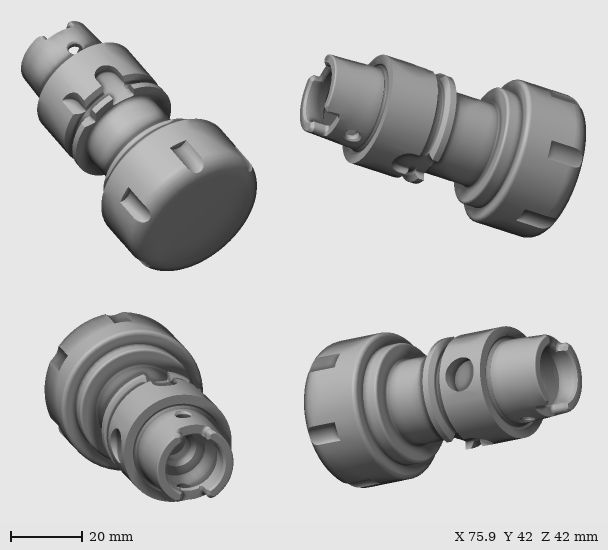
import cadquery as cq
import math


LENGTH = 75.9
NUT_RADIUS = 20.99
NUT_START = 55.7
NUT_BACK_FILLET = 1.2
NUT_FRONT_FILLET = 5.0
WRENCH_SLOT_COUNT = 6
WRENCH_SLOT_START = 63.9
WRENCH_SLOT_RADIUS = 3.0
WRENCH_SLOT_FLOOR = 19.05

TAPER_TIP_RADIUS = 11.4
TAPER_END_RADIUS = 12.1
TAPER_END = 14.95
TIP_FILLET = 0.45
RELIEF_DEPTH = 0.15
RELIEF_WIDTH = 0.5
RECESS_INNER_RADIUS = 12.5
RECESS_OUTER_RADIUS = 13.3
RECESS_DEPTH = 0.45

FLANGE_RADIUS = 31.95 / 2
FLANGE_START = 15.8
FLANGE_END = 35.75
GROOVE_CENTRE = 31.9
GROOVE_MOUTH_WIDTH = 4.0
GROOVE_FLOOR_WIDTH = 2.1
GROOVE_FLOOR_RADIUS = 13.2
GROOVE_SHOULDER_RADIUS = 14.35
GROOVE_WALL_FILLET = 0.4

NECK_RADIUS = 12.15
NECK_BACK_FILLET = 0.9
NECK_FRONT_FILLET = 0.6
COLLAR_START = 51.15
COLLAR_RADIUS = 17.15
COLLAR_FILLET = 0.75

BORE_RADIUS = 8.4
BORE_MOUTH_CHAMFER = 0.6
BORE_MOUTH_END = 6.1
UNDERCUT_RADIUS = 10.0
UNDERCUT_END = 12.0
CLAMP_FACE_ANGLE = 30.0
BORE_INNER_RADIUS = 8.1
BORE_DEPTH = 15.8
CORE_HOLE_RADIUS = 4.25
CORE_HOLE_DEPTH = 6.1
CORE_HOLE_CHAMFER = 1.15

NOTCH_HALF_WIDTH = 3.6
NOTCH_TOP_DEPTH = 3.0
NOTCH_BOTTOM_DEPTH = 5.0
NOTCH_SHOULDER_HEIGHT = 10.25
NOTCH_SHOULDER_RADIUS = 1.45
NOTCH_MOUTH_CHAMFER = 0.9
NOTCH_FLOOR_FILLET = 0.9
NOTCH_INNER_CHAMFER = 0.45

CROSS_HOLE_X = 10.85
CROSS_HOLE_RADIUS = 2.05
CROSS_HOLE_SINK = 0.6

KEYWAY_START = 23.8
KEYWAY_FLOOR = 12.9
KEYWAY_CORNER_FILLET = 0.45
KEYWAY_TOP_WIDTH = 7.05
KEYWAY_BOTTOM_WIDTH = 9.0
CORNER_NOTCH_OFFSET = 9.3
CORNER_NOTCH_END_RADIUS = 3.5
CHIP_POCKET_X = 22.9
CHIP_POCKET_RADIUS = 4.9
CHIP_POCKET_DEPTH = 4.55


def turned(profile):
    """Turn a closed (x, radius) profile round the X axis."""
    return profile.close().revolve(360, (0, 0, 0), (1, 0, 0))


def along_z(x, z):
    """Plane facing +Z at the given point of the XZ plane."""
    return cq.Workplane("XY", origin=(x, 0, z))


def holder_blank():
    relief_radius = TAPER_END_RADIUS - RELIEF_DEPTH
    recess_floor = FLANGE_START + RECESS_DEPTH
    arc_drop = RECESS_DEPTH * (1 - math.sqrt(0.5))
    recess_width = RECESS_OUTER_RADIUS - RECESS_INNER_RADIUS
    arc_middle = (recess_floor - arc_drop, RECESS_INNER_RADIUS + recess_width * math.sqrt(0.5))
    return turned(
        cq.Workplane("XY")
        .moveTo(0, 0)
        .lineTo(0, TAPER_TIP_RADIUS - TIP_FILLET)
        .radiusArc((TIP_FILLET, TAPER_TIP_RADIUS), TIP_FILLET)
        .lineTo(TAPER_END, TAPER_END_RADIUS)
        .lineTo(TAPER_END + RELIEF_DEPTH, relief_radius)
        .lineTo(TAPER_END + RELIEF_WIDTH, relief_radius)
        .lineTo(recess_floor, RECESS_INNER_RADIUS)
        .threePointArc(arc_middle, (FLANGE_START, RECESS_OUTER_RADIUS))
        .lineTo(FLANGE_START, FLANGE_RADIUS)
        .lineTo(FLANGE_END, FLANGE_RADIUS)
        .lineTo(FLANGE_END, NECK_RADIUS + NECK_BACK_FILLET)
        .radiusArc((FLANGE_END + NECK_BACK_FILLET, NECK_RADIUS), -NECK_BACK_FILLET)
        .lineTo(COLLAR_START - NECK_FRONT_FILLET, NECK_RADIUS)
        .radiusArc((COLLAR_START, NECK_RADIUS + NECK_FRONT_FILLET), -NECK_FRONT_FILLET)
        .lineTo(COLLAR_START, COLLAR_RADIUS - COLLAR_FILLET)
        .radiusArc((COLLAR_START + COLLAR_FILLET, COLLAR_RADIUS), COLLAR_FILLET)
        .lineTo(NUT_START, COLLAR_RADIUS)
        .lineTo(NUT_START, 0)
    )


def gripper_groove():
    half_mouth = GROOVE_MOUTH_WIDTH / 2
    half_floor = GROOVE_FLOOR_WIDTH / 2
    ring = turned(
        cq.Workplane("XY")
        .moveTo(GROOVE_CENTRE - half_mouth, FLANGE_RADIUS)
        .lineTo(GROOVE_CENTRE - half_floor, GROOVE_SHOULDER_RADIUS)
        .lineTo(GROOVE_CENTRE - half_floor, GROOVE_FLOOR_RADIUS)
        .lineTo(GROOVE_CENTRE + half_floor, GROOVE_FLOOR_RADIUS)
        .lineTo(GROOVE_CENTRE + half_floor, GROOVE_SHOULDER_RADIUS)
        .lineTo(GROOVE_CENTRE + half_mouth, FLANGE_RADIUS)
    )
    return ring.faces("%PLANE").edges().fillet(GROOVE_WALL_FILLET)


def bore():
    flare_length = (UNDERCUT_RADIUS - BORE_RADIUS) * math.tan(math.radians(CLAMP_FACE_ANGLE))
    core_mouth_radius = CORE_HOLE_RADIUS + CORE_HOLE_CHAMFER
    return turned(
        cq.Workplane("XY")
        .moveTo(0, 0)
        .lineTo(0, BORE_RADIUS + BORE_MOUTH_CHAMFER)
        .lineTo(BORE_MOUTH_CHAMFER, BORE_RADIUS)
        .lineTo(BORE_MOUTH_END, BORE_RADIUS)
        .lineTo(BORE_MOUTH_END + flare_length, UNDERCUT_RADIUS)
        .lineTo(UNDERCUT_END, UNDERCUT_RADIUS)
        .lineTo(BORE_DEPTH, BORE_INNER_RADIUS)
        .lineTo(BORE_DEPTH, core_mouth_radius)
        .lineTo(BORE_DEPTH + CORE_HOLE_CHAMFER, CORE_HOLE_RADIUS)
        .lineTo(BORE_DEPTH + CORE_HOLE_DEPTH, CORE_HOLE_RADIUS)
        .lineTo(BORE_DEPTH + CORE_HOLE_DEPTH, 0)
    )


def notch_outline(grow):
    """Upper notch outline in the YZ plane, its walls moved outward by `grow`."""
    half_width = NOTCH_HALF_WIDTH + grow
    shoulder = NOTCH_SHOULDER_HEIGHT - grow
    round_radius = NOTCH_SHOULDER_RADIUS - grow
    side = TAPER_TIP_RADIUS
    top = FLANGE_RADIUS
    return (
        cq.Workplane("YZ")
        .moveTo(-half_width, 0)
        .lineTo(half_width, 0)
        .lineTo(half_width, shoulder - round_radius)
        .radiusArc((half_width + round_radius, shoulder), round_radius)
        .lineTo(side, shoulder)
        .lineTo(side, top)
        .lineTo(-side, top)
        .lineTo(-side, shoulder)
        .lineTo(-half_width - round_radius, shoulder)
        .radiusArc((-half_width, shoulder - round_radius), round_radius)
        .close()
    )


def drive_notch(depth):
    """Notch on the +Z side: rounded floor corners, flared mouth, chamfered bore edge."""
    slot = notch_outline(0).extrude(depth).faces(">X").edges().fillet(NOTCH_FLOOR_FILLET)
    mouth = cq.Solid.makeLoft(
        [
            notch_outline(NOTCH_MOUTH_CHAMFER).wires().val(),
            notch_outline(0).wires().val().translate(cq.Vector(NOTCH_MOUTH_CHAMFER, 0, 0)),
        ],
        True,
    )
    chamfer_cone = cq.Solid.makeCone(
        BORE_RADIUS + NOTCH_INNER_CHAMFER,
        BORE_RADIUS,
        NOTCH_INNER_CHAMFER,
        cq.Vector(depth, 0, 0),
        cq.Vector(1, 0, 0),
    )
    upper_strip = (
        cq.Workplane("YZ", origin=(depth, 0, FLANGE_RADIUS / 2))
        .rect(2 * NOTCH_HALF_WIDTH, FLANGE_RADIUS)
        .extrude(NOTCH_INNER_CHAMFER)
    )
    bore_edge = upper_strip.intersect(cq.Workplane(chamfer_cone))
    return slot.union(cq.Workplane(mouth)).union(bore_edge)


def cross_hole():
    """Hole along Z through the taper wall, countersunk at both ends."""
    sink_radius = CROSS_HOLE_RADIUS + CROSS_HOLE_SINK
    hole = along_z(CROSS_HOLE_X, 0).circle(CROSS_HOLE_RADIUS).extrude(FLANGE_RADIUS, both=True)
    surface = TAPER_TIP_RADIUS + (TAPER_END_RADIUS - TAPER_TIP_RADIUS) * CROSS_HOLE_X / TAPER_END
    cone = cq.Solid.makeCone(
        CROSS_HOLE_RADIUS,
        sink_radius,
        CROSS_HOLE_SINK,
        cq.Vector(CROSS_HOLE_X, 0, surface - CROSS_HOLE_SINK),
        cq.Vector(0, 0, 1),
    )
    upper_sink = cq.Workplane(cone).union(
        along_z(CROSS_HOLE_X, surface).circle(sink_radius).extrude(CROSS_HOLE_SINK)
    )
    return hole.union(upper_sink).union(upper_sink.mirror("XY"))


def keyway(width):
    """Round-ended keyway on the +Z side, open at the flange's far face."""
    radius = width / 2
    centre = KEYWAY_START + radius
    return (
        along_z(0, KEYWAY_FLOOR)
        .moveTo(FLANGE_END, radius)
        .lineTo(centre, radius)
        .threePointArc((KEYWAY_START, 0), (centre, -radius))
        .lineTo(FLANGE_END, -radius)
        .close()
        .extrude(FLANGE_RADIUS - KEYWAY_FLOOR)
        .faces("<Z")
        .edges("not >X")
        .fillet(KEYWAY_CORNER_FILLET)
    )


def corner_notch():
    """Notch in the -Y +Z quarter of the flange, with a rounded end."""
    wall = -CORNER_NOTCH_OFFSET
    radius = CORNER_NOTCH_END_RADIUS
    centre = KEYWAY_START + radius
    return (
        along_z(0, CORNER_NOTCH_OFFSET)
        .moveTo(FLANGE_END, wall)
        .lineTo(centre, wall)
        .radiusArc((KEYWAY_START, wall - radius), -radius)
        .lineTo(KEYWAY_START, -FLANGE_RADIUS)
        .lineTo(FLANGE_END, -FLANGE_RADIUS)
        .close()
        .extrude(FLANGE_RADIUS - CORNER_NOTCH_OFFSET)
        .faces("<Z")
        .edges("not (>X or <Y)")
        .fillet(KEYWAY_CORNER_FILLET)
    )


def chip_pocket():
    """Round blind pocket sunk from the +Y side."""
    return (
        cq.Workplane("XZ", origin=(CHIP_POCKET_X, FLANGE_RADIUS, 0))
        .circle(CHIP_POCKET_RADIUS)
        .extrude(CHIP_POCKET_DEPTH)
    )


def make_holder():
    holder = holder_blank().cut(gripper_groove()).cut(bore())
    holder = holder.cut(drive_notch(NOTCH_TOP_DEPTH))
    holder = holder.cut(drive_notch(NOTCH_BOTTOM_DEPTH).mirror("XY"))
    holder = holder.cut(cross_hole())
    holder = holder.cut(keyway(KEYWAY_TOP_WIDTH))
    holder = holder.cut(keyway(KEYWAY_BOTTOM_WIDTH).mirror("XY"))
    return holder.cut(corner_notch()).cut(chip_pocket())


def wrench_slot(angle):
    """Round-bottomed slot along X, turned by `angle` about the axis from +Z."""
    slot = (
        cq.Workplane("YZ", origin=(WRENCH_SLOT_START, 0, 0))
        .center(0, WRENCH_SLOT_FLOOR + WRENCH_SLOT_RADIUS)
        .circle(WRENCH_SLOT_RADIUS)
        .extrude(LENGTH - WRENCH_SLOT_START)
    )
    return slot.rotate((0, 0, 0), (1, 0, 0), angle)


def make_nut():
    nut = cq.Workplane("YZ", origin=(NUT_START, 0, 0)).circle(NUT_RADIUS).extrude(LENGTH - NUT_START)
    nut = nut.faces("<X").edges().fillet(NUT_BACK_FILLET)
    nut = nut.faces(">X").edges().fillet(NUT_FRONT_FILLET)
    for index in range(WRENCH_SLOT_COUNT):
        nut = nut.cut(wrench_slot(index * 360 / WRENCH_SLOT_COUNT))
    return nut


holder = make_holder()
nut = make_nut()
result = cq.Compound.makeCompound([holder.val(), nut.val()])